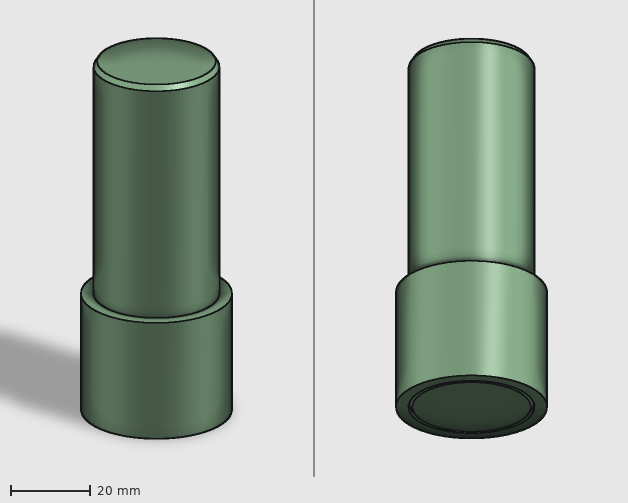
import cadquery as cq

PIN_LENGTH = 95.2
SLEEVE_DIAMETER = 38.1
CHAMFER_HEIGHT = 1.4
CHAMFER_WIDTH = 0.95

PIN_DIAMETER = PIN_LENGTH / 3
SLEEVE_LENGTH = PIN_DIAMETER
PIN_RADIUS = PIN_DIAMETER / 2
END_RADIUS = PIN_RADIUS - CHAMFER_WIDTH


def make_sleeve():
    """Plain bushing around the lower third of the pin."""
    return (
        cq.Workplane("XY")
        .circle(SLEEVE_DIAMETER / 2)
        .circle(PIN_RADIUS)
        .extrude(SLEEVE_LENGTH)
    )


def make_pin():
    """Straight round pin, chamfered alike at both ends, turned from its half profile."""
    return (
        cq.Workplane("XZ")
        .lineTo(END_RADIUS, 0)
        .lineTo(PIN_RADIUS, CHAMFER_HEIGHT)
        .lineTo(PIN_RADIUS, PIN_LENGTH - CHAMFER_HEIGHT)
        .lineTo(END_RADIUS, PIN_LENGTH)
        .lineTo(0, PIN_LENGTH)
        .close()
        .revolve(360, (0, 0, 0), (0, 1, 0))
    )


sleeve = make_sleeve()
pin = make_pin()
result = cq.Compound.makeCompound([sleeve.val(), pin.val()])